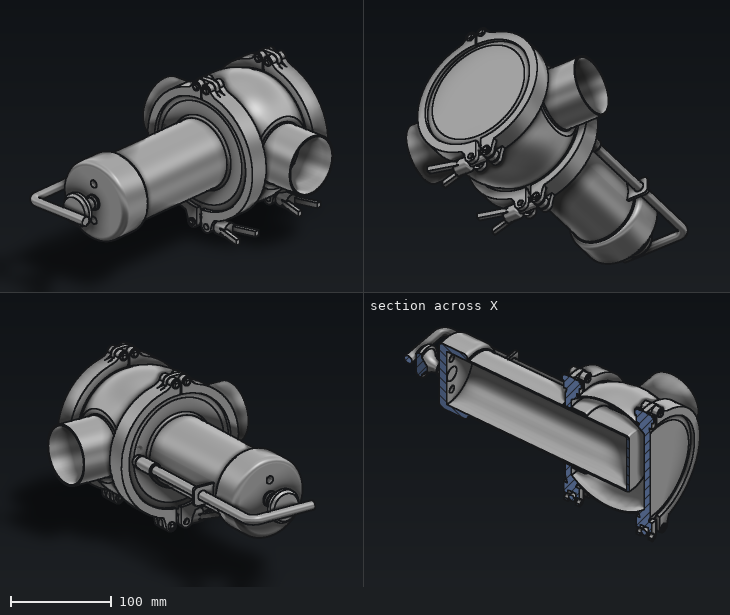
import cadquery as cq
import math

sphere_radius = 68.7
wall = 2.0
pipe_length = 200.0
pipe_od = 63.5
pipe_id = 60.5
neck_od = 65.4
flat_x = 57.2
neck_length = 1.8

joint_y = 45.0
flange_radius = 65.0
flange_face_radius = 55.0
flange_rim_half = 4.4
flange_face_half = 8.0

collar_od = 80.0
collar_bore = 74.6
collar_inner_y = -26.4
collar_outer_y = -55.7

clamp_width = 20.0
clamp_outer_radius = 70.0
clamp_inner_radius = 60.7
clamp_shift_x = 1.4
clamp_center_z = -0.8
hinge_x = (-5.2, 8.2)
hinge_z = 71.91
hinge_gap_x = (0.5, 2.4)
hinge_foot_x = (-18.8, 21.2)
link_radius = 6.55
link_width = 6.0
latch_x = (-10.6, 8.1)
latch_z = -78.45
latch_gap_x = (-4.3, 1.6)
latch_foot_x = (-20.0, 19.0)
latch_slot = 9.5
latch_eye_width = 6.0
blend_run = 0.3
blend_rise = 0.55
lug_root_z = 64.0
pin_diameter = 6.0
pin_hole_diameter = 6.1
pin_head_diameter = 8.0
pin_tip_diameter = 4.6
pin_rim_height = 1.0
pin_cone_height = 1.0

bolt_diameter = 8.0
nut_diameter = 16.0
nut_start_x = 14.4
nut_end_x = 31.0
nut_round = 3.0
wing_root_x = 24.0
wing_tip_x = 55.5
wing_root_y = 7.3
wing_tip_y = 16.3
wing_width = 5.0
wing_height = 6.0

rod_diameter = 10.0
rod_x = -50.0
rod_bend_radius = 10.0
rod_bottom_y = -253.0
rod_end_x = 25.0
coupling_diameter = 13.7
coupling_start_y = -58.0
coupling_end_y = -83.5
coupling_chamfer = 0.9
rod_seat_diameter = 12.4
rest_angle = 12.8
rest_diameter = 9.6
rest_floor_diameter = 4.0
rest_depth = 0.6

tube_od = 74.4
tube_id = 70.0
tube_inner_y = 26.8
tube_end_fillet = 3.4
tube_end_thickness = 4.0
cap_start_y = -173.3
cap_end_y = -209.8
cap_radius = 43.0
cap_fillet = 6.0
cap_end_thickness = 10.0
cap_step_radius = 38.0
cap_step_length = 1.5
cap_hole_diameter = 8.0
cap_hole_offset = 20.0
knob_hole_diameter = 16.2
guide_y = -161.4
guide_thickness = 3.0
guide_left_x = -60.0
guide_height = 20.0
guide_corner = 4.0
guide_hole_diameter = 10.6

knob_stem_diameter = 16.0
knob_collar_end_y = -212.0
knob_neck_start_y = -214.2
knob_flare_start_y = -217.1
knob_flare_mid_y = -223.3
knob_disc_start_y = -230.9
knob_disc_edge_y = -234.9
knob_end_y = -238.2
knob_collar_tip_radius = 6.8
knob_neck_radius = 6.0
knob_flare_mid_radius = 8.0
knob_flare_end_radius = 14.2
knob_disc_radius = 17.5
knob_face_radius = 14.7


def cylinder_y(radius, y_start, y_end, x=0.0, z=0.0):
    """Cylinder along Y from y_start down to the lower y_end."""
    plane = cq.Workplane("XZ", origin=(x, y_start, z))
    return plane.circle(radius).extrude(y_start - y_end)


def cylinder_x(radius, x_start, x_end, y=0.0, z=0.0):
    """Cylinder along X from x_start up to the higher x_end."""
    plane = cq.Workplane("YZ", origin=(x_start, y, z))
    return plane.circle(radius).extrude(x_end - x_start)


def turned_y(points):
    """Solid of revolution about the Y axis from (radius, y) points."""
    return cq.Workplane("XY").polyline(points).close().revolve(360, (0, 0, 0), (0, 1, 0))


def flange_pair(side):
    """Pair of conical flanges meeting at one joint, as one solid disc."""
    center = side * joint_y
    return turned_y([
        (0, center - flange_face_half),
        (flange_face_radius, center - flange_face_half),
        (flange_radius, center - flange_rim_half),
        (flange_radius, center + flange_rim_half),
        (flange_face_radius, center + flange_face_half),
        (0, center + flange_face_half),
    ])


def neck(side):
    """Short taper from the flat end of the sphere down to the pipe."""
    plane = cq.Workplane("YZ", origin=(side * flat_x, 0, 0))
    taper_angle = math.degrees(math.atan((neck_od - pipe_od) / 2 / neck_length))
    return plane.circle(neck_od / 2).extrude(side * neck_length, taper=taper_angle)


def ball(radius, half_length):
    """Sphere at the origin, cut square at plus and minus half_length along Y."""
    end_radius = math.sqrt(radius**2 - half_length**2)
    return (
        cq.Workplane("XY")
        .moveTo(0, -half_length)
        .lineTo(end_radius, -half_length)
        .threePointArc((radius, 0), (end_radius, half_length))
        .lineTo(0, half_length)
        .close()
        .revolve(360, (0, 0, 0), (0, 1, 0))
    )


def between_flats(half_width):
    """Block that limits the ball along X."""
    return cq.Workplane("XY").box(2 * half_width, 2 * joint_y, 2 * sphere_radius)


def guide_collar():
    """Ring with rounded ends that guides the cartridge through the front cover."""
    bore_radius = collar_bore / 2
    outer_radius = collar_od / 2
    rounding = outer_radius - bore_radius
    diagonal = rounding * math.sqrt(0.5)
    round_center_inner = collar_inner_y - rounding
    round_center_outer = collar_outer_y + rounding
    return (
        cq.Workplane("XY")
        .moveTo(bore_radius, collar_inner_y)
        .threePointArc(
            (bore_radius + diagonal, round_center_inner + diagonal),
            (outer_radius, round_center_inner),
        )
        .lineTo(outer_radius, round_center_outer)
        .threePointArc(
            (bore_radius + diagonal, round_center_outer - diagonal),
            (bore_radius, collar_outer_y),
        )
        .close()
        .revolve(360, (0, 0, 0), (0, 1, 0))
    )


def valve_body():
    inner_radius = sphere_radius - wall
    body = ball(sphere_radius, joint_y).intersect(between_flats(flat_x))
    for side in (-1, 1):
        body = body.union(flange_pair(side)).union(neck(side))
    body = body.union(cylinder_x(pipe_od / 2, -pipe_length / 2, pipe_length / 2))
    body = body.cut(ball(inner_radius, joint_y).intersect(between_flats(flat_x - wall)))
    body = body.cut(cylinder_x(pipe_id / 2, -pipe_length / 2, pipe_length / 2))
    body = body.cut(cylinder_y(collar_bore / 2, -joint_y + wall, collar_outer_y))
    return body.union(guide_collar())


def clamp_half(side):
    """Half ring; side -1 is the left half, +1 the right half."""
    index = 0 if side < 0 else 1
    center_x = side * clamp_shift_x
    ring = (
        cq.Workplane("XZ").center(center_x, clamp_center_z)
        .circle(clamp_outer_radius).circle(clamp_inner_radius)
        .extrude(clamp_width / 2, both=True)
    )
    reach = 2 * clamp_outer_radius
    keep = (
        cq.Workplane("XZ")
        .moveTo(hinge_gap_x[index], reach)
        .lineTo(hinge_gap_x[index], 0)
        .lineTo(latch_gap_x[index], 0)
        .lineTo(latch_gap_x[index], -reach)
        .lineTo(side * reach, -reach)
        .lineTo(side * reach, reach)
        .close()
        .extrude(clamp_width, both=True)
    )
    return ring.intersect(keep)


def lug(side, end, pin_x, pin_z, gap_x, foot_x, slot):
    """Pair of rounded lugs on a clamp half; end +1 is the hinge, -1 the latch."""
    radius = abs(gap_x - pin_x)
    outer_x = pin_x + side * radius
    foot_rise = math.sqrt(clamp_outer_radius**2 - (foot_x - side * clamp_shift_x) ** 2)
    foot_z = clamp_center_z + end * foot_rise
    blend = (outer_x + (foot_x - outer_x) * blend_run, foot_z + (pin_z - foot_z) * blend_rise)
    root_z = end * lug_root_z
    web = (
        cq.Workplane("XZ")
        .moveTo(gap_x, root_z)
        .lineTo(gap_x, pin_z)
        .lineTo(outer_x, pin_z)
        .threePointArc(blend, (foot_x, foot_z))
        .lineTo(foot_x, root_z)
        .close()
        .extrude(clamp_width / 2, both=True)
    )
    boss = cylinder_y(radius, clamp_width / 2, -clamp_width / 2, pin_x, pin_z)
    slot_box = cq.Workplane("XY").box(4 * clamp_outer_radius, slot, 4 * clamp_outer_radius)
    return web.union(boss).cut(slot_box)


def headed_pin(x, z):
    """Pin through a pair of lugs, with a conical head at each end."""
    rim_y = clamp_width / 2 + pin_rim_height
    tip_y = rim_y + pin_cone_height
    head_radius = pin_head_diameter / 2
    tip_radius = pin_tip_diameter / 2
    half_width = clamp_width / 2
    pin = turned_y([
        (0, -tip_y),
        (tip_radius, -tip_y),
        (head_radius, -rim_y),
        (head_radius, -half_width),
        (pin_diameter / 2, -half_width),
        (pin_diameter / 2, half_width),
        (head_radius, half_width),
        (head_radius, rim_y),
        (tip_radius, tip_y),
        (0, tip_y),
    ])
    return pin.translate((x, 0, z))


def hinge_link():
    """Rounded bar that joins the two hinge pins."""
    link_center = sum(hinge_x) / 2
    link_length = hinge_x[1] - hinge_x[0] + 2 * link_radius
    return (
        cq.Workplane("XZ").center(link_center, hinge_z)
        .slot2D(link_length, 2 * link_radius)
        .extrude(link_width / 2, both=True)
    )


def latch_bolt():
    """Eye bolt with a wing nut that pulls the two latch lugs together."""
    eye_radius = latch_gap_x[0] - latch_x[0]
    eye = cylinder_y(eye_radius, latch_eye_width / 2, -latch_eye_width / 2, latch_x[0], latch_z)
    shank = cylinder_x(bolt_diameter / 2, latch_x[0], nut_end_x - nut_round, 0, latch_z)
    nut = cylinder_x(nut_diameter / 2, nut_start_x, nut_end_x, 0, latch_z)
    nut = nut.faces("<X").edges().fillet(nut_round)
    bolt = eye.union(shank).union(nut)
    for side in (-1, 1):
        wing = (
            cq.Workplane("XY", origin=(0, 0, latch_z))
            .moveTo(wing_root_x, side * wing_root_y)
            .lineTo(wing_tip_x, side * wing_tip_y)
            .lineTo(wing_tip_x, side * (wing_tip_y - wing_width))
            .lineTo(wing_root_x, side * (wing_root_y - wing_width))
            .close()
            .extrude(wing_height / 2, both=True)
        )
        bolt = bolt.union(wing)
    return bolt


def clamp():
    """Two-piece clamp centred on the XZ plane, with its hinge and latch."""
    assembly = hinge_link().union(latch_bolt())
    for index, side in enumerate((-1, 1)):
        hinge_lug = lug(
            side, 1, hinge_x[index], hinge_z, hinge_gap_x[index], hinge_foot_x[index], link_width
        )
        latch_lug = lug(
            side, -1, latch_x[index], latch_z, latch_gap_x[index], latch_foot_x[index], latch_slot
        )
        if side > 0:
            hole = cylinder_y(pin_hole_diameter / 2, clamp_width, -clamp_width, latch_x[index], latch_z)
            latch_lug = latch_lug.cut(hole)
        assembly = assembly.union(clamp_half(side)).union(hinge_lug).union(latch_lug)
        assembly = assembly.union(headed_pin(hinge_x[index], hinge_z))
    return assembly.union(headed_pin(latch_x[0], latch_z))


def locking_rod():
    """L-shaped rod fixed to the front cover by a coupling."""
    radius = rod_diameter / 2
    cover_y = -joint_y
    axis_y = rod_bottom_y + radius
    bend_offset = rod_bend_radius * (1 - math.sqrt(0.5))
    path = (
        cq.Workplane("XY")
        .moveTo(rod_x, coupling_start_y)
        .lineTo(rod_x, axis_y + rod_bend_radius)
        .threePointArc(
            (rod_x + bend_offset, axis_y + bend_offset),
            (rod_x + rod_bend_radius, axis_y),
        )
        .lineTo(rod_end_x, axis_y)
    )
    rod = cq.Workplane("XZ", origin=(rod_x, coupling_start_y, 0)).circle(radius).sweep(path)
    coupling = cylinder_y(coupling_diameter / 2, coupling_start_y, coupling_end_y, rod_x)
    coupling = coupling.faces("<Y").chamfer(coupling_chamfer)
    seat = cylinder_y(rod_seat_diameter / 2, cover_y, coupling_start_y, rod_x)
    return rod.union(coupling).union(seat)


def rest_recess():
    """Cutter for the shallow conical recess in the front cover beside the rod."""
    face_y = -joint_y - flange_face_half
    x = rod_x * math.cos(math.radians(rest_angle))
    z = -rod_x * math.sin(math.radians(rest_angle))
    cone = turned_y([
        (0, face_y),
        (rest_diameter / 2, face_y),
        (rest_floor_diameter / 2, face_y + rest_depth),
        (0, face_y + rest_depth),
    ])
    return cone.translate((x, 0, z))


def make_housing():
    housing = valve_body().cut(rest_recess())
    for side in (-1, 1):
        housing = housing.union(clamp().translate((0, side * joint_y, 0)))
    return housing.union(locking_rod())


def guide_plate():
    """Plate on the tube with a clearance hole around the locking rod."""
    center_x = guide_left_x / 2
    plate = (
        cq.Workplane("XZ", origin=(center_x, guide_y, 0))
        .rect(-guide_left_x, guide_height)
        .extrude(guide_thickness)
        .edges("|Y and <X").fillet(guide_corner)
    )
    hole = cylinder_y(guide_hole_diameter / 2, guide_y, guide_y - guide_thickness, rod_x)
    return plate.cut(hole)


def make_cartridge():
    tube = cylinder_y(tube_od / 2, tube_inner_y, cap_start_y)
    tube = tube.faces(">Y").edges().fillet(tube_end_fillet)
    cap = cylinder_y(cap_radius, cap_start_y, cap_end_y)
    cap = cap.edges("%CIRCLE").fillet(cap_fillet)
    step = cylinder_y(cap_step_radius, cap_start_y + cap_step_length, cap_start_y - cap_fillet)
    cartridge = tube.union(cap).union(step).union(guide_plate())
    inner_end_y = cap_end_y + cap_end_thickness
    bore = cylinder_y(tube_id / 2, tube_inner_y - tube_end_thickness, inner_end_y)
    cartridge = cartridge.cut(bore)
    cartridge = cartridge.cut(cylinder_y(knob_hole_diameter / 2, inner_end_y, cap_end_y))
    for side in (-1, 1):
        hole = cylinder_y(cap_hole_diameter / 2, inner_end_y, cap_end_y, 0, side * cap_hole_offset)
        cartridge = cartridge.cut(hole)
    return cartridge


def make_knob():
    stem_radius = knob_stem_diameter / 2
    return (
        cq.Workplane("XY")
        .moveTo(0, cap_end_y + cap_end_thickness)
        .lineTo(stem_radius, cap_end_y + cap_end_thickness)
        .lineTo(stem_radius, knob_collar_end_y)
        .lineTo(knob_collar_tip_radius, knob_neck_start_y)
        .lineTo(knob_neck_radius, knob_neck_start_y)
        .lineTo(knob_neck_radius, knob_flare_start_y)
        .threePointArc(
            (knob_flare_mid_radius, knob_flare_mid_y),
            (knob_flare_end_radius, knob_disc_start_y),
        )
        .lineTo(knob_disc_radius, knob_disc_start_y)
        .lineTo(knob_disc_radius, knob_disc_edge_y)
        .lineTo(knob_face_radius, knob_end_y)
        .lineTo(0, knob_end_y)
        .close()
        .revolve(360, (0, 0, 0), (0, 1, 0))
    )


housing = make_housing()
cartridge = make_cartridge()
knob = make_knob()

result = cq.Compound.makeCompound([housing.val(), cartridge.val(), knob.val()])